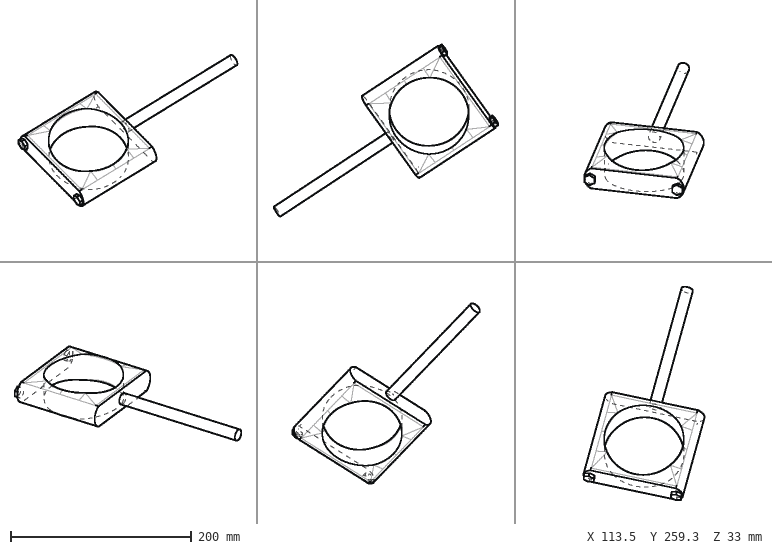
import cadquery as cq
import math

clamp_width = 113.5
clamp_length = 102.5
flat_width = 97.5
flat_height = 26.0
total_height = 33.0
bore_radius = 44.0
rod_diameter = 13.2
total_length = 259.3
bore_setback = 0.3

crest_half_length = 25.5
slope_half_length = 47.7

bolt_head_height = 4.1
bolt_across_flats = 11.5
bolt_spacing = 99.5

half_flat = flat_width / 2
edge_z = flat_height / 2
crest_z = total_height / 2
back_y = clamp_length / 2 + bore_setback
front_y = back_y - clamp_length
rod_length = total_length - clamp_length - bolt_head_height
crest_half_width = math.sqrt(bore_radius**2 - crest_half_length**2)


def make_body():
    """Flat bar section with shallow round sides, running along Y."""
    return (
        cq.Workplane("XZ", origin=(0, back_y, 0))
        .moveTo(-half_flat, edge_z)
        .lineTo(half_flat, edge_z)
        .threePointArc((clamp_width / 2, 0), (half_flat, -edge_z))
        .lineTo(-half_flat, -edge_z)
        .threePointArc((-clamp_width / 2, 0), (-half_flat, edge_z))
        .close()
        .extrude(clamp_length)
    )


def make_slopes():
    """Flat facets falling from the crest to all four edges, above and below."""

    def profile(plane, half_base, half_crest, depth):
        return (
            cq.Workplane(plane)
            .polyline([
                (-half_base, edge_z), (-half_crest, crest_z),
                (half_crest, crest_z), (half_base, edge_z),
                (half_base, -edge_z), (half_crest, -crest_z),
                (-half_crest, -crest_z), (-half_base, -edge_z),
            ])
            .close()
            .extrude(depth, both=True)
        )

    end_slopes = profile("YZ", slope_half_length, crest_half_length, half_flat)
    side_slopes = profile("XZ", half_flat, crest_half_width, slope_half_length)
    return end_slopes.intersect(side_slopes)


def make_side_crest():
    """Half of the +X crest: ruled faces from both bore rims to the side edges."""
    half_angle = math.asin(crest_half_length / bore_radius) / 2
    mid_x = bore_radius * math.cos(half_angle)
    mid_y = bore_radius * math.sin(half_angle)

    def rim(z):
        return cq.Edge.makeThreePointArc(
            cq.Vector(bore_radius, 0, z),
            cq.Vector(mid_x, mid_y, z),
            cq.Vector(crest_half_width, crest_half_length, z),
        )

    def side(z):
        return cq.Edge.makeLine(
            cq.Vector(half_flat, 0, z),
            cq.Vector(half_flat, crest_half_length, z),
        )

    def end(x, y):
        corners = [
            (x, y, -crest_z), (half_flat, y, -edge_z),
            (half_flat, y, edge_z), (x, y, crest_z),
        ]
        outline = cq.Wire.makePolygon([cq.Vector(*corner) for corner in corners], close=True)
        return cq.Face.makeFromWires(outline)

    faces = [
        cq.Face.makeRuledSurface(rim(-crest_z), side(-edge_z)),
        cq.Face.makeRuledSurface(rim(crest_z), side(edge_z)),
        cq.Face.makeRuledSurface(rim(-crest_z), rim(crest_z)),
        cq.Face.makeRuledSurface(side(-edge_z), side(edge_z)),
        end(bore_radius, 0),
        end(crest_half_width, crest_half_length),
    ]
    solid = cq.Solid.makeSolid(cq.Shell.makeShell(faces)).fix()
    return cq.Workplane(solid)


def make_rod():
    """Handle rod standing on the back face."""
    return (
        cq.Workplane("XZ", origin=(0, back_y, 0))
        .circle(rod_diameter / 2)
        .extrude(-rod_length)
    )


def make_bolt_head(x):
    """Hexagonal head with its points up and down."""
    return (
        cq.Workplane("XZ", origin=(0, front_y, 0))
        .polygon(6, bolt_across_flats, circumscribed=True)
        .extrude(bolt_head_height)
        .translate((x, 0, 0))
    )


clamp = make_body().union(make_slopes())
bore = cq.Workplane("XY", origin=(0, 0, -crest_z)).circle(bore_radius).extrude(total_height)
clamp = clamp.cut(bore)

crests = make_side_crest()
for mirror_plane in ("XZ", "YZ"):
    crests = crests.union(crests.mirror(mirror_plane))

result = clamp.union(crests).union(make_rod())
for bolt_x in (-bolt_spacing / 2, bolt_spacing / 2):
    result = result.union(make_bolt_head(bolt_x))